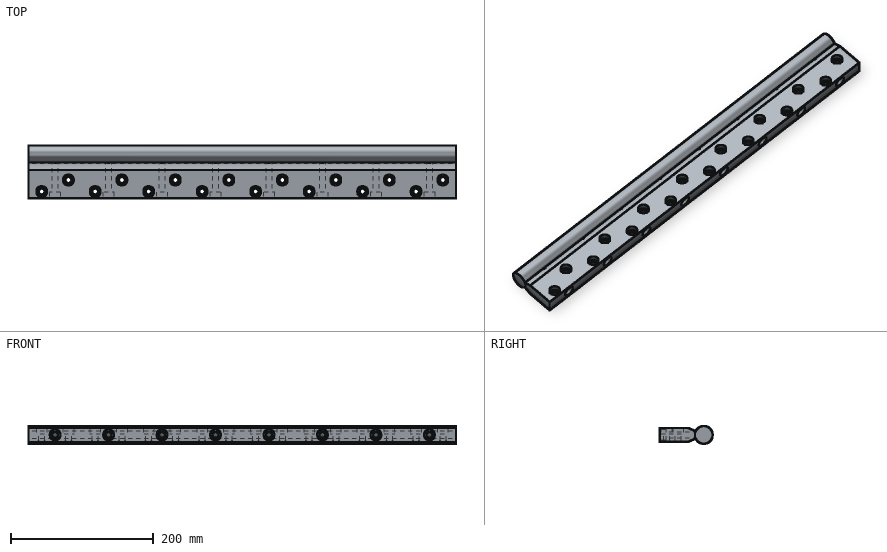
import cadquery as cq
import math

length = 600.0
total_depth = 74.5
shaft_diameter = 25.0
shaft_radius = shaft_diameter / 2

rail_thickness = 20.0
neck_thickness = 11.0
flat_depth = 39.5
front_y = shaft_radius - total_depth
shoulder_y = front_y + flat_depth

hole_count = 8
pitch = length / hole_count
front_row_inset = 9.5
row_spacing = 16.0
front_row_start = pitch / 4
back_row_start = 3 * pitch / 4
edge_hole_start = pitch / 2

hole_diameter = 8.5
counterbore_diameter = 15.0
counterbore_depth = 9.0


def make_shaft():
    """Plain round shaft along X."""
    return cq.Workplane("YZ").circle(shaft_radius).extrude(length)


def make_rail_body():
    """Flat bar tapering to a neck whose concave end seats the shaft."""
    half_rail = rail_thickness / 2
    half_neck = neck_thickness / 2
    seat_y = -math.sqrt(shaft_radius**2 - half_neck**2)
    return (
        cq.Workplane("YZ")
        .moveTo(front_y, -half_rail)
        .lineTo(shoulder_y, -half_rail)
        .lineTo(seat_y, -half_neck)
        .threePointArc((-shaft_radius, 0), (seat_y, half_neck))
        .lineTo(shoulder_y, half_rail)
        .lineTo(front_y, half_rail)
        .close()
        .extrude(length)
    )


def make_screw_hole(entry, direction, depth):
    """Cutter for one counterbored hole that starts at the entry point."""
    start = cq.Vector(*entry)
    axis = cq.Vector(*direction)
    bore = cq.Solid.makeCylinder(hole_diameter / 2, depth, start, axis)
    counterbore = cq.Solid.makeCylinder(counterbore_diameter / 2, counterbore_depth, start, axis)
    return bore.fuse(counterbore)


def make_rail():
    """Rail with two staggered mounting rows and a row of shaft screw holes."""
    rail = make_rail_body()
    top_z = rail_thickness / 2
    front_row_y = front_y + front_row_inset
    back_row_y = front_row_y + row_spacing
    down = (0, 0, -1)
    toward_shaft = (0, 1, 0)
    for index in range(hole_count):
        offset = index * pitch
        front_entry = (front_row_start + offset, front_row_y, top_z)
        back_entry = (back_row_start + offset, back_row_y, top_z)
        edge_entry = (edge_hole_start + offset, front_y, 0)
        rail = rail.cut(cq.Workplane(make_screw_hole(front_entry, down, rail_thickness)))
        rail = rail.cut(cq.Workplane(make_screw_hole(back_entry, down, rail_thickness)))
        rail = rail.cut(cq.Workplane(make_screw_hole(edge_entry, toward_shaft, -front_y)))
    return rail


shaft = make_shaft()
rail = make_rail()

result = cq.Compound.makeCompound([shaft.val(), rail.val()])